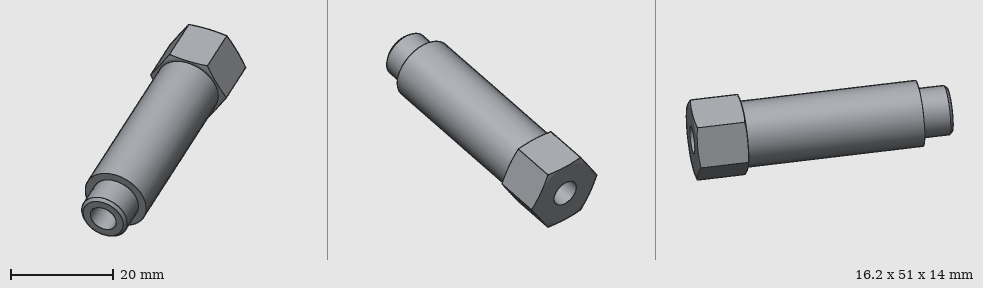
import cadquery as cq
import math

total_length = 51.0
across_flats = 14.0
head_length = 10.0
body_diameter = 13.0
nose_diameter = 9.75
nose_length = 6.0
nose_tip_diameter = 8.55
bore_diameter = 5.5
head_face_diameter = 13.95
head_chamfer_angle = 15.0

nose_chamfer_length = (nose_diameter - nose_tip_diameter) / 2
across_corners = across_flats / math.cos(math.radians(30))
head_start = total_length - head_length
corner_radius = across_corners / 2
head_face_radius = head_face_diameter / 2
head_chamfer_length = (corner_radius - head_face_radius) * math.tan(math.radians(head_chamfer_angle))


def revolve_about_y(points):
    return cq.Workplane("XY").polyline(points).close().revolve(360, (0, 0, 0), (0, 1, 0))


def make_head():
    """Hexagon with corners on X and conical chamfers at both ends."""
    hexagon = (
        cq.Workplane("XZ", origin=(0, total_length, 0))
        .polygon(6, across_corners)
        .extrude(head_length)
    )
    chamfer_envelope = revolve_about_y([
        (0, head_start),
        (head_face_radius, head_start),
        (corner_radius, head_start + head_chamfer_length),
        (corner_radius, total_length - head_chamfer_length),
        (head_face_radius, total_length),
        (0, total_length),
    ])
    return hexagon.intersect(chamfer_envelope)


def make_shank():
    """Round body stepping down to a nose with a chamfered tip."""
    return revolve_about_y([
        (0, 0),
        (nose_tip_diameter / 2, 0),
        (nose_diameter / 2, nose_chamfer_length),
        (nose_diameter / 2, nose_length),
        (body_diameter / 2, nose_length),
        (body_diameter / 2, head_start),
        (0, head_start),
    ])


def make_bore():
    """Through hole along the full length."""
    return (
        cq.Workplane("XZ", origin=(0, total_length, 0))
        .circle(bore_diameter / 2)
        .extrude(total_length)
    )


result = make_head().union(make_shank()).cut(make_bore())